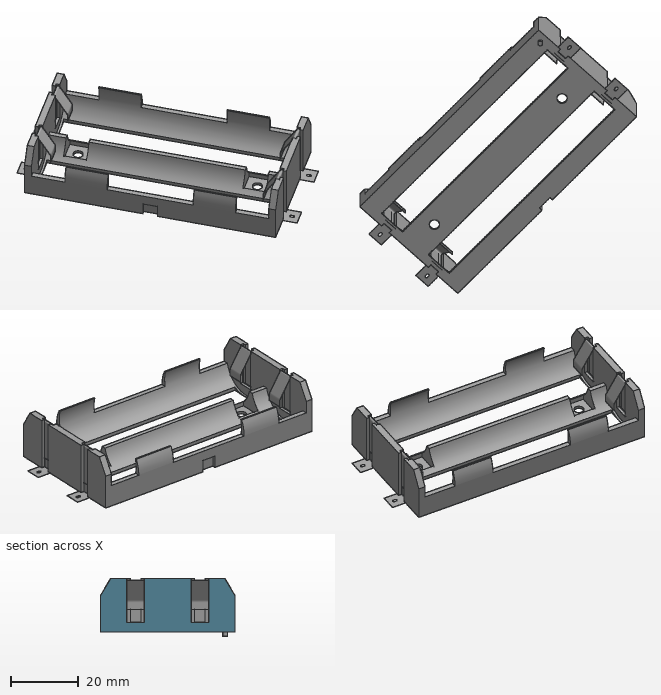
import cadquery as cq
import math

OVERALL_LENGTH = 86.0
HOUSING_LENGTH = 77.1
HOUSING_WIDTH = 40.0
SIDE_HEIGHT = 7.0
END_HEIGHT = 16.0
END_THICKNESS = 2.15
CORNER_CUT_WIDTH = 3.1
CORNER_CUT_HEIGHT = 5.2

CELL_OFFSET = 9.55
CELL_RADIUS = 9.1
CELL_AXIS_HEIGHT = 9.2
WINDOW_WIDTH = 8.5
WINDOW_LENGTH = 71.4

TAB_LENGTH = 13.0
TAB_OFFSET = 19.7
TAB_TOP = 11.9
TAB_OUTER_RADIUS = HOUSING_WIDTH / 2 - CELL_OFFSET

POCKET_SIZE = 7.05
POCKET_FLOOR = 0.9
POCKET_OFFSET = 27.5
SCREW_HOLE_DIAMETER = 3.0

SIDE_NOTCH_LENGTH = 4.5
SIDE_NOTCH_HEIGHT = 3.9
SIDE_NOTCH_DEPTH = 1.0
PEG_DIAMETER = 1.5
PEG_LENGTH = 1.2
PEG_X = -36.1
PEG_Y = 17.0

SHEET = 0.1
CLIP_WIDTH = 5.1
NECK_WIDTH = 3.1
SLOT_DEPTH = 1.0
NECK_TOP = 3.0
BEND_RADIUS = 0.5
CLIP_TOP = 15.5
SPRING_REACH = 6.0
KNEE_RADIUS = 1.3
KNEE_HEIGHT = 8.8
SPRING_TIP_HEIGHT = 6.8
FOOT_HOLE_LENGTH = 1.4
FOOT_HOLE_WIDTH = 0.8

END_FACE = HOUSING_LENGTH / 2
INNER_LENGTH = HOUSING_LENGTH - 2 * END_THICKNESS
FOOT_LENGTH = (OVERALL_LENGTH - HOUSING_LENGTH) / 2
CHANNEL_FLOOR = NECK_TOP - SHEET


def block(x_range, y_range, z_range):
    """Box between the given limits along each axis."""
    (x0, x1), (y0, y1), (z0, z1) = x_range, y_range, z_range
    return cq.Workplane("XY").box(x1 - x0, y1 - y0, z1 - z0, centered=False).translate((x0, y0, z0))


def centred_block(length, width, z_range, x=0, y=0):
    """Box centred on (x, y) between two heights."""
    return block((x - length / 2, x + length / 2), (y - width / 2, y + width / 2), z_range)


def end_wall(side):
    """Tall end wall with sloped upper corners; side is -1 or 1."""
    half_width = HOUSING_WIDTH / 2
    half_top = half_width - CORNER_CUT_WIDTH
    shoulder = END_HEIGHT - CORNER_CUT_HEIGHT
    outline = [
        (-half_width, 0),
        (half_width, 0),
        (half_width, shoulder),
        (half_top, END_HEIGHT),
        (-half_top, END_HEIGHT),
        (-half_width, shoulder),
    ]
    wall = cq.Workplane("YZ").polyline(outline).close().extrude(END_THICKNESS)
    return wall.translate((END_FACE - END_THICKNESS if side > 0 else -END_FACE, 0, 0))


def cell_cylinder(length, y):
    """Cylinder along X on a cell axis."""
    start = cq.Workplane("YZ", origin=(-length / 2, y, CELL_AXIS_HEIGHT))
    return start.circle(CELL_RADIUS).extrude(length)


def retaining_tab(x, side):
    """Curved tab rising from a long wall and leaning over the cell."""
    start = cq.Workplane("YZ", origin=(x - TAB_LENGTH / 2, side * CELL_OFFSET, SIDE_HEIGHT))
    round_bar = start.circle(TAB_OUTER_RADIUS).extrude(TAB_LENGTH)
    wall_y = side * (CELL_OFFSET + TAB_OUTER_RADIUS / 2)
    upper_zone = centred_block(TAB_LENGTH, TAB_OUTER_RADIUS, (SIDE_HEIGHT, TAB_TOP), x, wall_y)
    return round_bar.intersect(upper_zone).cut(cell_cylinder(HOUSING_LENGTH, side * CELL_OFFSET))


def clip_slot(y):
    """Slots in the -X end wall: narrow outside, wide inside, and a groove for the clip neck."""
    slot_back = -END_FACE + SLOT_DEPTH
    outer = block(
        (-END_FACE, slot_back), (y - NECK_WIDTH / 2, y + NECK_WIDTH / 2), (0, END_HEIGHT)
    )
    channel = block(
        (slot_back, -END_FACE + END_THICKNESS),
        (y - CLIP_WIDTH / 2, y + CLIP_WIDTH / 2),
        (CHANNEL_FLOOR, END_HEIGHT),
    )
    neck_groove = block(
        (slot_back, slot_back + SHEET), (y - NECK_WIDTH / 2, y + NECK_WIDTH / 2), (0, NECK_TOP)
    )
    return outer.union(channel).union(neck_groove)


def make_housing():
    body = centred_block(HOUSING_LENGTH, HOUSING_WIDTH, (0, SIDE_HEIGHT))

    for side in (-1, 1):
        body = body.cut(cell_cylinder(INNER_LENGTH, side * CELL_OFFSET))
        body = body.cut(
            centred_block(WINDOW_LENGTH, WINDOW_WIDTH, (0, SIDE_HEIGHT), y=side * CELL_OFFSET)
        )

    for side in (-1, 1):
        body = body.union(end_wall(side))

    for x in (-TAB_OFFSET, TAB_OFFSET):
        for side in (-1, 1):
            body = body.union(retaining_tab(x, side))

    for x in (-POCKET_OFFSET, POCKET_OFFSET):
        body = body.cut(centred_block(POCKET_SIZE, POCKET_SIZE, (POCKET_FLOOR, SIDE_HEIGHT), x))
        hole = cq.Workplane("XY").center(x, 0).circle(SCREW_HOLE_DIAMETER / 2).extrude(SIDE_HEIGHT)
        body = body.cut(hole)

    notch_y = -HOUSING_WIDTH / 2 + SIDE_NOTCH_DEPTH / 2
    body = body.cut(
        centred_block(SIDE_NOTCH_LENGTH, SIDE_NOTCH_DEPTH, (0, SIDE_NOTCH_HEIGHT), y=notch_y)
    )

    peg = cq.Workplane("XY").center(PEG_X, PEG_Y).circle(PEG_DIAMETER / 2).extrude(-PEG_LENGTH)
    body = body.union(peg)

    for y in (-CELL_OFFSET, CELL_OFFSET):
        slot = clip_slot(y)
        body = body.cut(slot).cut(slot.mirror("YZ"))
    return body


def clip_strip():
    """Upright strip, top bend and spring, centred on y = 0 at the -X end."""
    strip_x = -END_FACE + SLOT_DEPTH + SHEET
    tip_x = -END_FACE + SPRING_REACH
    bend = (strip_x + BEND_RADIUS, CLIP_TOP - BEND_RADIUS)
    knee = (tip_x - KNEE_RADIUS, KNEE_HEIGHT)

    run = knee[0] - bend[0]
    drop = bend[1] - knee[1]
    tangent_offset = math.acos((BEND_RADIUS - KNEE_RADIUS) / math.hypot(run, drop))
    normal = tangent_offset - math.atan2(drop, run)
    bend_middle = (math.pi + normal) / 2

    def on_arc(centre, radius, angle):
        return (centre[0] + radius * math.cos(angle), centre[1] + radius * math.sin(angle))

    bend_inside = BEND_RADIUS - SHEET
    knee_inside = KNEE_RADIUS - SHEET
    profile = (
        cq.Workplane("XZ", origin=(0, CLIP_WIDTH / 2, 0))
        .moveTo(strip_x, CHANNEL_FLOOR)
        .lineTo(strip_x, bend[1])
        .threePointArc(on_arc(bend, BEND_RADIUS, bend_middle), on_arc(bend, BEND_RADIUS, normal))
        .lineTo(*on_arc(knee, KNEE_RADIUS, normal))
        .threePointArc(on_arc(knee, KNEE_RADIUS, normal / 2), (tip_x, KNEE_HEIGHT))
        .lineTo(tip_x, SPRING_TIP_HEIGHT)
        .lineTo(tip_x - SHEET, SPRING_TIP_HEIGHT)
        .lineTo(tip_x - SHEET, KNEE_HEIGHT)
        .threePointArc(on_arc(knee, knee_inside, normal / 2), on_arc(knee, knee_inside, normal))
        .lineTo(*on_arc(bend, bend_inside, normal))
        .threePointArc(on_arc(bend, bend_inside, bend_middle), (strip_x + SHEET, bend[1]))
        .lineTo(strip_x + SHEET, CHANNEL_FLOOR)
        .close()
    )
    return profile.extrude(CLIP_WIDTH)


def make_clip(end, y):
    """Sheet-metal contact clip; end is -1 or 1 along X."""
    slot_back = -END_FACE + SLOT_DEPTH
    half_neck = NECK_WIDTH / 2
    foot_x = -END_FACE - FOOT_LENGTH / 2

    foot = centred_block(FOOT_LENGTH, CLIP_WIDTH, (0, SHEET), foot_x)
    hole_centre = cq.Workplane("XY").center(foot_x, 0)
    foot_hole = hole_centre.slot2D(FOOT_HOLE_LENGTH, FOOT_HOLE_WIDTH).extrude(SHEET)
    tongue = block((-END_FACE, slot_back), (-half_neck, half_neck), (0, SHEET))
    neck = block((slot_back, slot_back + SHEET), (-half_neck, half_neck), (0, NECK_TOP))

    clip = foot.cut(foot_hole).union(tongue).union(neck).union(clip_strip())
    if end > 0:
        clip = clip.mirror("YZ")
    return clip.translate((0, y, 0))


housing = make_housing()
clips = [make_clip(end, y) for end in (-1, 1) for y in (-CELL_OFFSET, CELL_OFFSET)]

result = cq.Compound.makeCompound([housing.val(), *[clip.val() for clip in clips]])